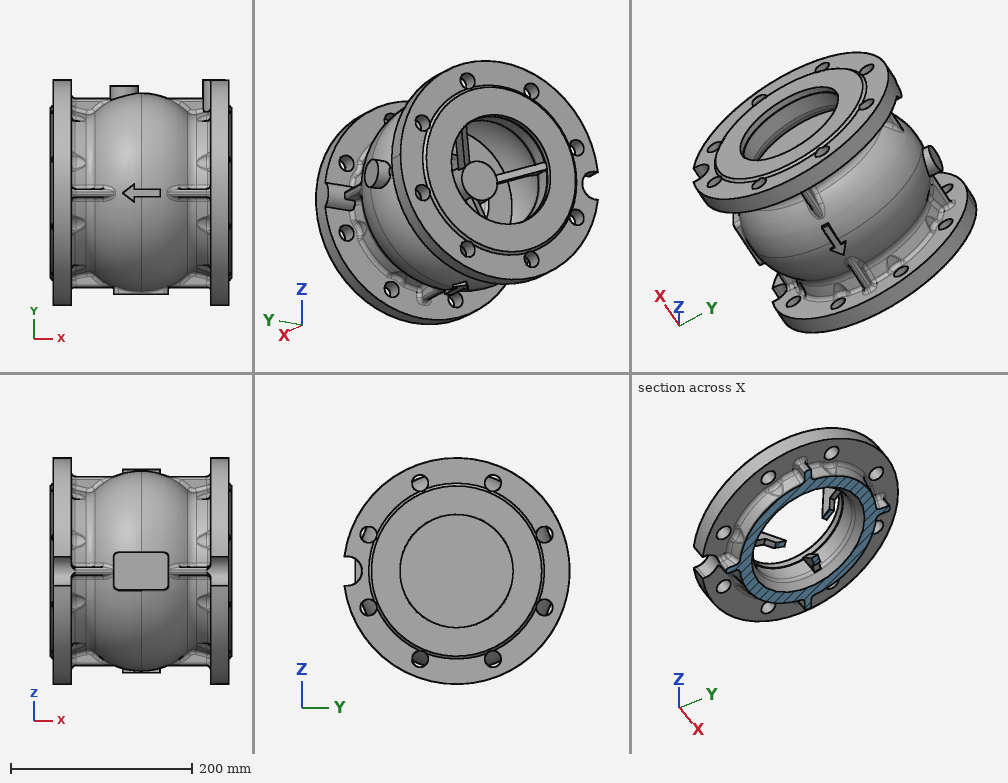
import cadquery as cq
import math

half_length = 100.0

flange_radius = 125.0
flange_thickness = 20.0
raised_face_height = 3.0
raised_face_base_radius = 97.0
raised_face_tip_radius = 94.0
flange_outer_x = half_length - raised_face_height
flange_inner_x = flange_outer_x - flange_thickness

bolt_count = 8
bolt_circle_radius = 105.0
bolt_hole_diameter = 18.0
bolt_relief_radius = 17.5
relief_end_x = 58.0

bulge_radius = 110.5
bulge_arc_radius = 74.0
bulge_end_x = 51.0
neck_start_x = 61.0
neck_taper_deg = 14.0
neck_root_fillet = 5.0
relief_edge_round = 3.0

rib_top = 104.4
rib_thickness = 8.8
rib_top_fillet = 3.0
rib_root_fillet = 5.0
rib_inner_x = 20.0
rib_base_radius = 75.0

notch_radius = 16.0
notch_center_y = -(rib_top + notch_radius)

wall_thickness = 9.0
mouth_radius = 62.5
mouth_depth = 8.0
bore_radius = 63.5
bore_end_x = 73.0
bore_lip_x = 68.0
bore_lip_radius = 65.0
cavity_end_x = 50.0

hub_face_x = -51.0
hub_tip_radius = 22.3
hub_base_radius = 26.0
spoke_count = 3
spoke_width = 8.3
spoke_first_deg = 76.0
spoke_rim_x = -94.0
spoke_axial_thickness = 14.5
spoke_foot_x = -68.0

disc_radius = 80.0
disc_back_x = 20.0
disc_front_x = 62.0
disc_recess_floor_x = 37.0
recess_mouth_radius = 51.0
recess_rim_radius = 47.5
recess_floor_radius = 31.0

pad_length = 60.4
pad_height = 41.0
pad_corner_radius = 5.0
pad_face = 112.0
pad_depth = 20.0
pad_root_fillet = 1.5

arrow_tip_x = -20.3
arrow_neck_x = -7.2
arrow_tail_x = 21.0
arrow_half_head = 10.0
arrow_half_shaft = 4.0
arrow_face = 112.3
arrow_depth = 8.0

boss_radius = 15.5
side_boss_x = -18.5
side_boss_top = 118.3
flange_boss_x = flange_inner_x + 6.7
boss_base = 90.0


def mirrored(solid):
    """The solid together with its mirror image across X = 0."""
    return solid.union(solid.mirror("YZ"))


def revolve_x(sketch):
    """Revolve an (x, radius) profile about the X axis."""
    return sketch.close().revolve(360, (0, 0, 0), (1, 0, 0))


def bulge_height(x, inset=0.0):
    """Radius of the bulge arc at x, optionally inset towards the axis."""
    center = bulge_radius - bulge_arc_radius
    return center + math.sqrt((bulge_arc_radius - inset) ** 2 - x ** 2)


def make_half_core():
    """The +X half of the barrel and its tapered neck, with bolt reliefs scooped out."""
    taper = math.radians(neck_taper_deg)
    bulge_slope = math.asin(bulge_end_x / bulge_arc_radius)
    bulge_end_r = bulge_height(bulge_end_x)
    throat_drop = (neck_start_x - bulge_end_x) * math.tan((bulge_slope - taper) / 2)
    neck_start_r = bulge_end_r - throat_drop
    neck_end_r = neck_start_r + (flange_inner_x - neck_start_x) * math.tan(taper)
    middle_x = bulge_end_x / 2
    core = revolve_x(
        cq.Workplane("XY")
        .lineTo(0, bulge_radius)
        .threePointArc((middle_x, bulge_height(middle_x)), (bulge_end_x, bulge_end_r))
        .tangentArcPoint((neck_start_x, neck_start_r), relative=False)
        .lineTo(flange_inner_x, neck_end_r)
        .lineTo(flange_inner_x, 0)
    )
    return core.cut(bolt_pattern(bolt_relief_radius, relief_end_x, flange_inner_x + 1))


def bolt_pattern(radius, x_start, x_end):
    """Cylinders on the bolt circle, straddling the Y and Z axes."""
    return (
        cq.Workplane("YZ", origin=(x_start, 0, 0))
        .polarArray(bolt_circle_radius, 180 / bolt_count, 360, bolt_count)
        .circle(radius)
        .extrude(x_end - x_start)
    )


def make_ribs():
    """Four longitudinal ribs on the +X neck, rounded along their tops."""
    length = flange_inner_x - rib_inner_x
    rib = (
        cq.Workplane("XY")
        .box(length, rib_thickness, rib_top - rib_base_radius, centered=(False, True, False))
        .edges(">Z and |X")
        .fillet(rib_top_fillet)
        .translate((rib_inner_x, 0, rib_base_radius))
    )
    ribs = rib
    for angle in (90, 180, 270):
        ribs = ribs.union(rib.rotate((0, 0, 0), (1, 0, 0), angle))
    return ribs


def make_flange():
    """Flange on the +X end with its chamfered raised face."""
    return revolve_x(
        cq.Workplane("XY")
        .moveTo(flange_inner_x, 0)
        .lineTo(flange_inner_x, flange_radius)
        .lineTo(flange_outer_x, flange_radius)
        .lineTo(flange_outer_x, raised_face_base_radius)
        .lineTo(half_length, raised_face_tip_radius)
        .lineTo(half_length, 0)
    )


def make_cavity():
    """Bores at both ends opening into the barrel-shaped cavity."""
    mouth_end_x = half_length - mouth_depth
    cavity_r = bulge_height(cavity_end_x, wall_thickness)
    crown_r = bulge_height(0, wall_thickness)
    return revolve_x(
        cq.Workplane("XY")
        .moveTo(-half_length, 0)
        .lineTo(-half_length, mouth_radius)
        .lineTo(-mouth_end_x, mouth_radius)
        .lineTo(-mouth_end_x, bore_radius)
        .lineTo(-bore_end_x, bore_radius)
        .tangentArcPoint((-bore_lip_x, bore_lip_radius), relative=False)
        .lineTo(-cavity_end_x, cavity_r)
        .threePointArc((0, crown_r), (cavity_end_x, cavity_r))
        .lineTo(bore_lip_x, bore_lip_radius)
        .threePointArc((bore_end_x - 2, bore_radius + 0.4), (bore_end_x, bore_radius))
        .lineTo(mouth_end_x, bore_radius)
        .lineTo(mouth_end_x, mouth_radius)
        .lineTo(half_length, mouth_radius)
        .lineTo(half_length, 0)
    )


def make_disc_and_hub():
    """Closing disc with its recess, and the guide hub rising from the recess."""
    return revolve_x(
        cq.Workplane("XY")
        .moveTo(hub_face_x, 0)
        .lineTo(hub_face_x, hub_tip_radius)
        .lineTo(disc_recess_floor_x, hub_base_radius)
        .lineTo(disc_recess_floor_x, recess_floor_radius)
        .lineTo(disc_back_x + recess_mouth_radius - recess_rim_radius, recess_rim_radius)
        .tangentArcPoint((disc_back_x, recess_mouth_radius), relative=False)
        .lineTo(disc_back_x, disc_radius)
        .lineTo(disc_front_x, disc_radius)
        .lineTo(disc_front_x, 0)
    )


def make_spokes():
    """Sloping spokes that carry the hub from the bore wall."""
    slope = (hub_face_x - spoke_rim_x) / (mouth_radius - hub_tip_radius)
    foot_r = mouth_radius - (spoke_foot_x - spoke_axial_thickness - spoke_rim_x) / slope
    rim_r = bore_radius + 1.0
    spoke = (
        cq.Workplane("XZ")
        .moveTo(hub_face_x, hub_tip_radius)
        .lineTo(spoke_rim_x, mouth_radius)
        .lineTo(spoke_rim_x, rim_r)
        .lineTo(spoke_foot_x, rim_r)
        .lineTo(spoke_foot_x, foot_r)
        .lineTo(hub_face_x + spoke_axial_thickness, hub_tip_radius)
        .lineTo(hub_face_x + spoke_axial_thickness, 0)
        .lineTo(hub_face_x, 0)
        .close()
        .extrude(spoke_width / 2, both=True)
    )
    spokes = cq.Workplane("XY")
    for index in range(spoke_count):
        angle = spoke_first_deg + index * 360 / spoke_count
        spokes = spokes.add(spoke.rotate((0, 0, 0), (1, 0, 0), angle))
    return spokes.combine()


def make_half_pad():
    """The +X half of the rectangular name-plate pad on the -Y side."""
    return (
        cq.Workplane("XZ", origin=(0, -pad_face + pad_depth, 0))
        .rect(pad_length, pad_height)
        .extrude(pad_depth)
        .edges("|Y")
        .fillet(pad_corner_radius)
        .intersect(cq.Workplane("XY").box(pad_length, 2 * pad_face, pad_height, centered=(False, True, True)))
    )


def make_arrow():
    """Raised flow arrow on the crown, pointing to -X."""
    return (
        cq.Workplane("XY", origin=(0, 0, arrow_face - arrow_depth))
        .polyline([
            (arrow_tip_x, 0),
            (arrow_neck_x, arrow_half_head),
            (arrow_neck_x, arrow_half_shaft),
            (arrow_tail_x, arrow_half_shaft),
            (arrow_tail_x, -arrow_half_shaft),
            (arrow_neck_x, -arrow_half_shaft),
            (arrow_neck_x, -arrow_half_head),
        ])
        .close()
        .extrude(arrow_depth)
    )


def make_boss(x, top):
    """Round boss pointing to +Y."""
    return (
        cq.Workplane("XZ", origin=(x, boss_base, 0))
        .circle(boss_radius)
        .extrude(boss_base - top)
    )


def make_flange_boss():
    """Boss backing the +X flange, trimmed to the flange rim and outer face."""
    envelope = cq.Workplane("YZ").circle(flange_radius).extrude(flange_outer_x)
    return make_boss(flange_boss_x, flange_radius).intersect(envelope)


def make_notch():
    """Open round-bottomed notch through the +X flange and its root fillet on the -Y side."""
    start_x = flange_inner_x - neck_root_fillet
    length = flange_outer_x - start_x
    round_bottom = (
        cq.Workplane("YZ", origin=(start_x, notch_center_y, 0))
        .circle(notch_radius)
        .extrude(length)
    )
    open_side = (
        cq.Workplane("XY")
        .box(length, flange_radius, 2 * notch_radius, centered=(False, False, True))
        .translate((start_x, notch_center_y - flange_radius, 0))
    )
    return round_bottom.union(open_side)


def is_relief_edge(edge):
    """Edge where a bolt relief meets the neck surface."""
    x = abs(edge.Center().x)
    return edge.geomType() != "CIRCLE" and bulge_end_x < x < flange_inner_x - 0.1


def is_rib_root_edge(edge):
    """Edge where a rib side meets the neck or the bulge."""
    center = edge.Center()
    beside_axis_plane = min(abs(center.y), abs(center.z)) < rib_thickness
    below_rib_top = math.hypot(center.y, center.z) < rib_top - rib_top_fillet - 0.1
    return beside_axis_plane and below_rib_top and rib_inner_x < abs(center.x) < flange_inner_x - 0.1


def is_flange_root_edge(edge):
    """Edge where the neck or a rib meets the inner face of a flange."""
    center = edge.Center()
    on_flange_face = abs(abs(center.x) - flange_inner_x) < 0.01 and edge.BoundingBox().xlen < 0.01
    is_full_rim = edge.BoundingBox().ylen > flange_radius
    return on_flange_face and not is_full_rim and math.hypot(center.y, center.z) < bolt_circle_radius


def is_pad_root_edge(edge):
    """Edge where the name-plate pad meets the bulge."""
    center = edge.Center()
    within_pad = abs(center.x) < pad_length / 2 + 1 and abs(center.z) < pad_height / 2 + 1
    return within_pad and edge.geomType() == "BSPLINE" and center.y < 0


def fillet_where(body, test, radius):
    """Fillet every edge of the body that passes the test."""
    return body.newObject([edge for edge in body.edges().vals() if test(edge)]).fillet(radius)


half = fillet_where(make_half_core(), is_relief_edge, relief_edge_round)
half = half.union(make_ribs())
half = fillet_where(half, is_rib_root_edge, rib_root_fillet)
half = fillet_where(half.union(make_half_pad()), is_pad_root_edge, pad_root_fillet)
half = half.union(make_flange())
half = fillet_where(half, is_flange_root_edge, neck_root_fillet)
half = half.cut(bolt_pattern(bolt_hole_diameter / 2, flange_inner_x - 1, half_length))
half = half.cut(make_notch())
body = mirrored(half)

body = body.union(make_arrow()).union(make_arrow().mirror("XY"))
body = body.union(make_boss(side_boss_x, side_boss_top)).union(make_flange_boss())

body = body.cut(make_cavity())
result = body.union(make_disc_and_hub()).union(make_spokes())